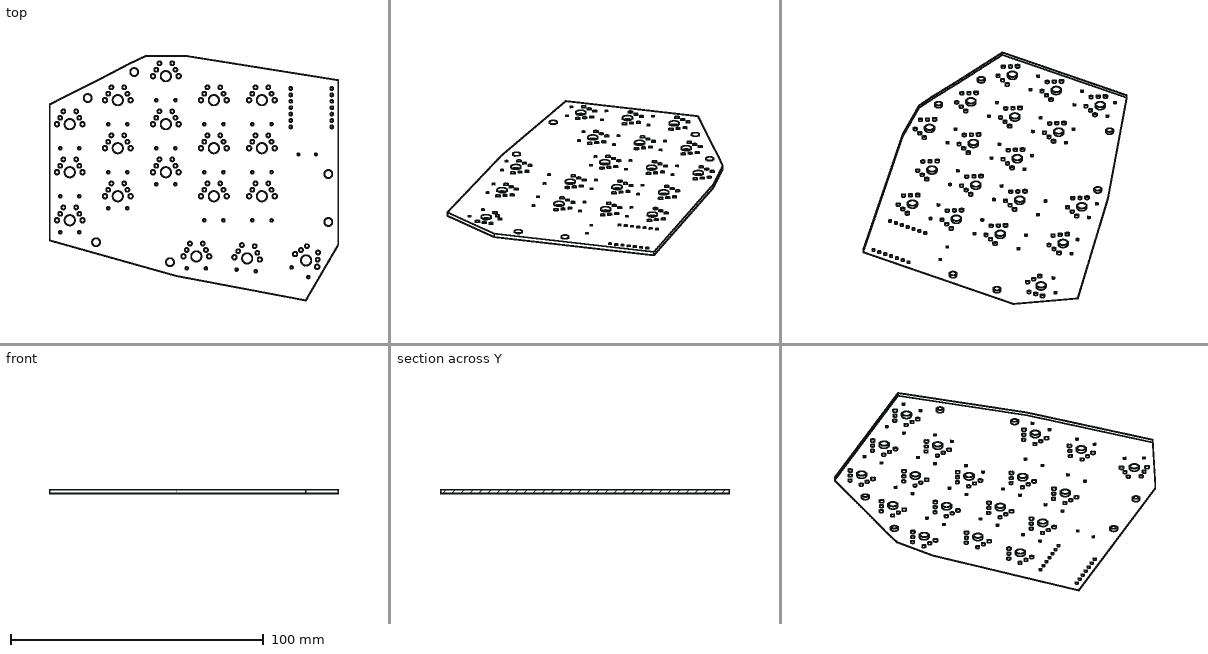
import cadquery as cq

plate_length = 114.3
plate_depth = 96.8
plate_thickness = 1.6
outline = [
    (0, 23.8),
    (50.1, 9.7),
    (101.4, 0),
    (plate_length, 22.2),
    (plate_length, 87.2),
    (54.1, plate_depth),
    (38.1, plate_depth),
    (31.5, 93.7),
    (19.1, 87.2),
    (10.0, 82.6),
    (0, 77.6),
]

switch_hole = 4.0
side_peg_hole = 1.7
contact_hole = 1.5
diode_hole = 1.0
controller_hole = 1.1
battery_hole = 0.8
mounting_hole = 3.1

header_pins = 7
header_length = 15.2
header_pitch = header_length / (header_pins - 1)
header_bottom_y = 68.7
header_columns_x = [95.4, 111.7]

grid = header_pitch / 2
side_peg_offset = 4 * grid
contacts = [(2 * grid, 4 * grid), (3 * grid, 2 * grid)]
diode_half_span = 3 * grid

column_steps = [0, 1, 2, 1, 1]
matrix_width = 76.0
key_pitch = matrix_width / (len(column_steps) - 1)
first_column_x = 8
bottom_row_y = 31.8
column_stagger = key_pitch / 2
row_count = 3
close_diode_columns = 3
diode_drop = key_pitch / 2
short_diode_drop = key_pitch / 4

thumb_keys = [
    (58.1, 17.5, 0, (0, -short_diode_drop)),
    (78.2, 16.7, -5, (0, -short_diode_drop)),
    (101.5, 15.9, -30, (0.2, -5.3)),
]

battery_leads = [(98.4, 57.8), (105.4, 57.8)]
mounting_points = [
    (15.1, 80.1),
    (33.5, 90.4),
    (110.3, 50.1),
    (110.3, 31.1),
    (18.4, 23.1),
    (47.7, 15.2),
]


def pins(points, diameter):
    """Cylinders through the plate thickness at the given points."""
    return cq.Workplane("XY").pushPoints(points).circle(diameter / 2).extrude(plate_thickness)


def key_footprint(x, y, angle, diode_offset):
    """Cutting bodies for one key switch and the two leads of its diode."""
    contact_points = [(side * cx, cy) for cx, cy in contacts for side in (-1, 1)]
    diode_x, diode_y = diode_offset
    diode_points = [(diode_x + side * diode_half_span, diode_y) for side in (-1, 1)]
    groups = [
        pins([(0, 0)], switch_hole),
        pins([(-side_peg_offset, 0), (side_peg_offset, 0)], side_peg_hole),
        pins(contact_points, contact_hole),
        pins(diode_points, diode_hole),
    ]
    solids = [solid for group in groups for solid in group.vals()]
    footprint = cq.Workplane("XY").newObject([cq.Compound.makeCompound(solids)])
    return footprint.rotate((0, 0, 0), (0, 0, 1), angle).translate((x, y, 0))


plate = cq.Workplane("XY").polyline(outline).close().extrude(plate_thickness)

for column, steps in enumerate(column_steps):
    for row in range(row_count):
        key_x = first_column_x + column * key_pitch
        key_y = bottom_row_y + steps * column_stagger + row * key_pitch
        close_diode = row == 0 and column < close_diode_columns
        drop = short_diode_drop if close_diode else diode_drop
        plate = plate.cut(key_footprint(key_x, key_y, 0, (0, -drop)))

for key_x, key_y, angle, diode_offset in thumb_keys:
    plate = plate.cut(key_footprint(key_x, key_y, angle, diode_offset))

header_points = [
    (x, header_bottom_y + pin * header_pitch) for x in header_columns_x for pin in range(header_pins)
]
plate = plate.cut(pins(header_points, controller_hole))
plate = plate.cut(pins(battery_leads, battery_hole))
plate = plate.cut(pins(mounting_points, mounting_hole))

result = plate